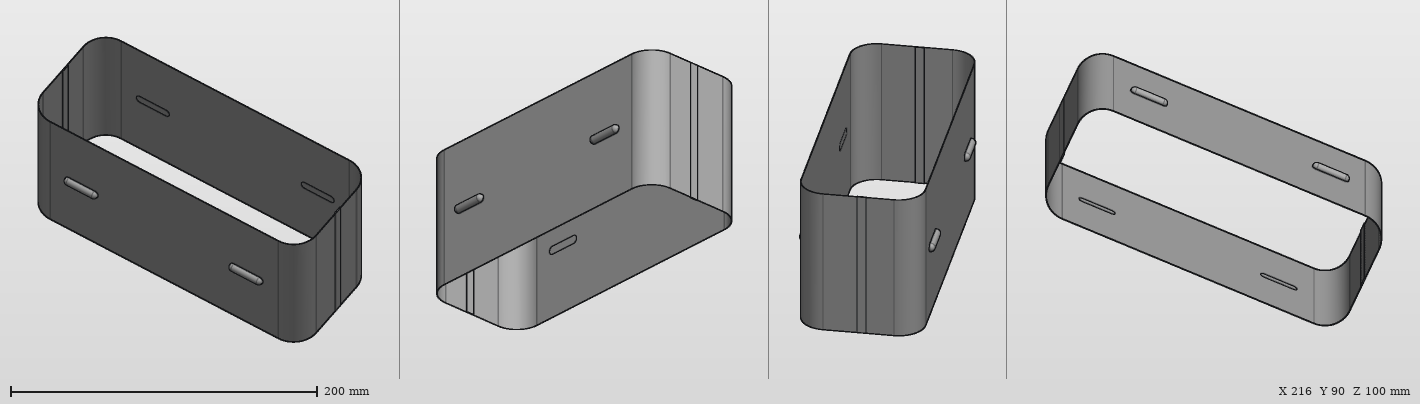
import cadquery as cq
import math

length = 216.0
width = 83.0
height = 100.0
wall = 0.5
corner_radius = 18.0

bar_length = 26.0
bar_radius = 3.0
bar_spacing = 130.0
bar_reach = 3.5

strip_width = 6.0
strip_thickness = 1.0
strip_offset = 2.0

inner_length = length - 2 * wall
inner_width = width - 2 * wall
bar_axis_y = width / 2 + bar_reach - bar_radius


def rounded_block(size_x, size_y, radius):
    return cq.Workplane("XY").box(size_x, size_y, height).edges("|Z").fillet(radius)


def make_sleeve():
    outside = rounded_block(length, width, corner_radius)
    opening = rounded_block(inner_length, inner_width, corner_radius - wall)
    return outside.cut(opening)


def make_bar(x, side):
    """Round-ended bar at x on the wall facing side * Y, rooted through to the inner wall face."""
    half_straight = bar_length / 2 - bar_radius
    quarter = bar_radius * math.sin(math.radians(45))
    bar_plane = cq.Workplane("XZ", origin=(x, side * bar_axis_y, 0))

    head = (
        bar_plane.moveTo(-bar_length / 2, 0)
        .threePointArc((-half_straight - quarter, quarter), (-half_straight, bar_radius))
        .lineTo(half_straight, bar_radius)
        .threePointArc((half_straight + quarter, quarter), (bar_length / 2, 0))
        .close()
        .revolve(180, (0, 0, 0), (-side, 0, 0))
    )
    root_depth = bar_axis_y - inner_width / 2
    root = bar_plane.slot2D(bar_length, 2 * bar_radius).extrude(side * root_depth)
    return head.union(root)


def make_strip(side):
    """Full-height strip, flush with the outer face of the short wall facing side * X."""
    strip_x = side * (length - strip_thickness) / 2
    strip = cq.Workplane("XY").box(strip_thickness, strip_width, height)
    return strip.translate((strip_x, strip_offset, 0))


def make_part():
    """Join everything, keeping face boundaries where bars and strips lie flush with the walls."""
    body = make_sleeve()
    for side in (-1, 1):
        body = body.union(make_strip(side), clean=False)
        for x in (-bar_spacing / 2, bar_spacing / 2):
            body = body.union(make_bar(x, side), clean=False)
    return body


result = cq.Workplane(make_part().solids().val())